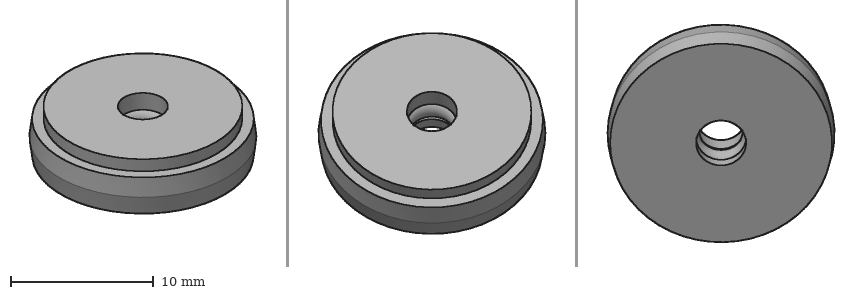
import cadquery as cq

outer_diameter = 15.9
rim_diameter = 15.52
boss_diameter = 13.91
rim_height = 3.0
boss_height = 1.0
bore_diameter = 3.5
ring_inner_diameter = 3.0
ring_section_diameter = 1.5
groove_top_depth = 1.4
ring_centre_height = 1.75

total_height = rim_height + boss_height
ring_section_radius = ring_section_diameter / 2
ring_centre_radius = ring_inner_diameter / 2 + ring_section_radius
groove_diameter = ring_inner_diameter + 2 * ring_section_diameter
groove_height = 2 * (total_height - groove_top_depth - ring_centre_height)


def make_seal_ring():
    """Round-section ring that protrudes slightly into the bore."""
    return (
        cq.Workplane("XZ")
        .center(ring_centre_radius, ring_centre_height)
        .circle(ring_section_radius)
        .revolve(360, (-ring_centre_radius, 0), (-ring_centre_radius, 1))
    )


def make_housing():
    """Bored disc with a crowned rim, a raised boss and a square-cornered groove for the ring."""
    profile = [
        (bore_diameter / 2, 0),
        (rim_diameter / 2, 0),
        (outer_diameter / 2, rim_height / 2),
        (rim_diameter / 2, rim_height),
        (boss_diameter / 2, rim_height),
        (boss_diameter / 2, total_height),
        (bore_diameter / 2, total_height),
    ]
    disc = cq.Workplane("XZ").polyline(profile).close().revolve(360, (0, 0), (0, 1))
    groove = (
        cq.Workplane("XY", origin=(0, 0, ring_centre_height))
        .cylinder(groove_height, groove_diameter / 2)
    )
    return disc.cut(groove)


seal_ring = make_seal_ring()
housing = make_housing()

result = cq.Compound.makeCompound([housing.val(), seal_ring.val()])